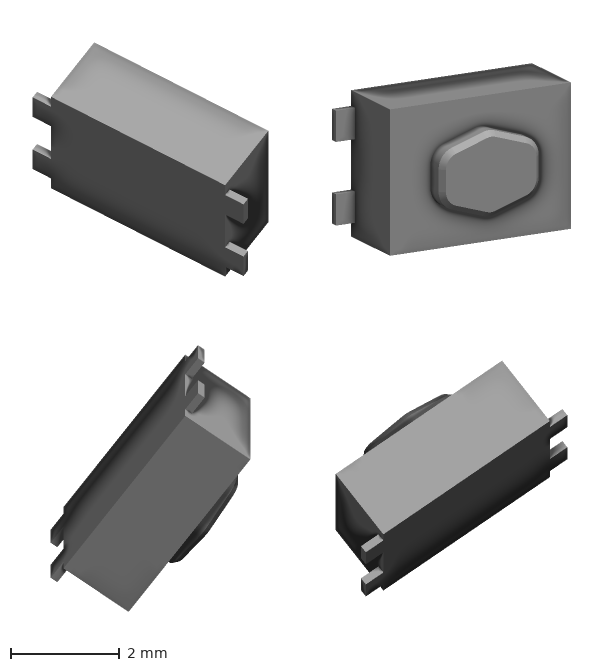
import cadquery as cq
import math

total_width = 4.6
total_depth = 1.9
body_width = 3.8
body_depth = 1.485
body_height = 2.8

terminal_height = 0.6
terminal_thickness = 0.15
terminal_pitch = 1.6

button_width = 2.1
button_point_span = 1.69
button_slope_angle = 18.0
button_corner_radius = 0.4
button_chamfer = 0.1

button_half_width = button_width / 2
button_point_height = button_point_span / 2
button_rise = total_depth - body_depth
button_shoulder = button_point_height - button_half_width * math.tan(math.radians(button_slope_angle))


def make_body():
    return cq.Workplane("XY").box(
        body_width, body_depth, body_height, centered=(True, False, True)
    )


def make_terminal_pair(z):
    """Return one strip whose two ends stick out of the body sides."""
    strip = cq.Workplane("XY").box(
        total_width, terminal_thickness, terminal_height, centered=(True, False, True)
    )
    return strip.translate((0, 0, z))


def make_button():
    outline = [
        (0, button_point_height),
        (button_half_width, button_shoulder),
        (button_half_width, -button_shoulder),
        (0, -button_point_height),
        (-button_half_width, -button_shoulder),
        (-button_half_width, button_shoulder),
    ]
    button = (
        cq.Workplane("XZ", origin=(0, body_depth, 0))
        .polyline(outline)
        .close()
        .extrude(-button_rise)
    )
    button = button.edges("|Y").fillet(button_corner_radius)
    return button.faces(">Y").edges().chamfer(button_chamfer)


result = make_body().union(make_button())
for side in (-1, 1):
    result = result.union(make_terminal_pair(side * terminal_pitch / 2))